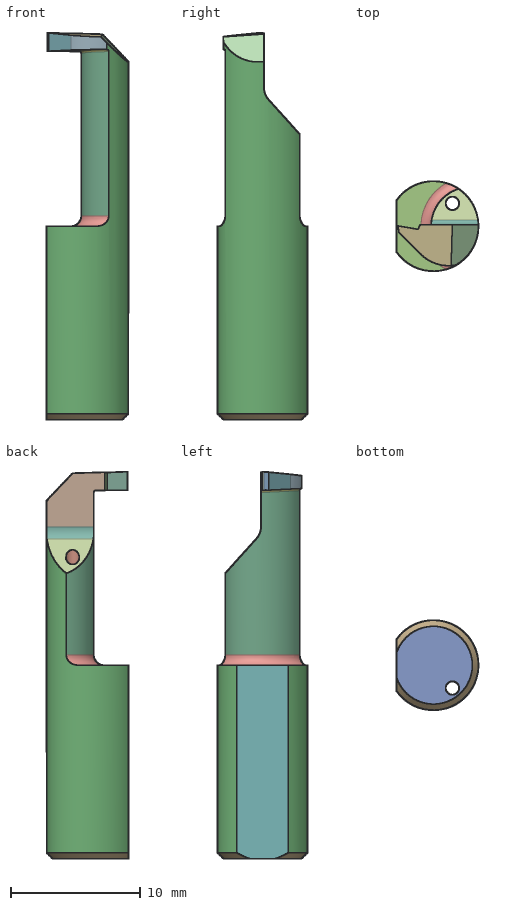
import cadquery as cq
import math

total_height = 30.0
shank_radius = 3.495
shank_height = 15.0
flat_x = -2.865
bottom_chamfer = 0.48
clear = 12.0

neck_radius = 3.03
neck_x = 2.85
neck_fillet = 0.8

rake_y = 0.12
rake_bottom_z = 25.2
runout_angle = 48.0
runout_fillet = 1.4

coolant_diameter = 1.02
coolant_x = 1.47
coolant_y = 1.77

head_back_radius = 3.05
head_back_x = 1.17
tip_x = -2.8
tip_y = 0.03
tip_corner_x = -2.73
tip_corner_y = -0.1
tip_land_x = -2.67
gullet_x = -1.2
gullet_y = -0.25
gullet_end_x = -1.02
underside_z = 28.53
head_fillet = 0.15
underside_rise = 0.05
top_fall_y = 0.07
top_fall_x = 0.03
bevel_x = 1.47
bevel_slope = 1.05
bevel_fall_y = 0.1


def cylinder(radius, height):
    return cq.Workplane("XY").circle(radius).extrude(height)


def half_space_above(x, y, z, slope_x, slope_y):
    """Block above the plane through (x, y, z) with the given Z slopes along X and Y."""
    plane = cq.Plane(origin=(x, y, z), xDir=(1, 0, slope_x), normal=(-slope_x, -slope_y, 1))
    return cq.Workplane(plane).rect(2 * clear, 2 * clear).extrude(clear)


def make_shank():
    shank = cylinder(shank_radius, shank_height).faces("<Z").chamfer(bottom_chamfer)
    beyond_flat = cq.Workplane("XY").box(clear, clear, 2 * shank_height).translate((flat_x - clear / 2, 0, 0))
    return shank.cut(beyond_flat)


def make_neck():
    """Neck with a concave flare onto the shank, trimmed to the shank cylinder."""
    flare_radius = neck_radius + neck_fillet
    flare_top = shank_height + neck_fillet
    middle = neck_fillet * (1 - math.sqrt(0.5))
    profile = (
        cq.Workplane("XZ", origin=(neck_x, 0, 0))
        .moveTo(0, 0)
        .lineTo(flare_radius, 0)
        .lineTo(flare_radius, shank_height)
        .threePointArc((neck_radius + middle, shank_height + middle), (neck_radius, flare_top))
        .lineTo(neck_radius, total_height)
        .lineTo(0, total_height)
        .close()
    )
    neck = profile.revolve(360, (0, 0, 0), (0, 1, 0))
    neck = neck.cut(cq.Workplane("XY").rect(2 * clear, 2 * clear).extrude(shank_height))
    return neck.intersect(cylinder(shank_radius, total_height))


def make_rake_cut():
    """Material removed behind the rake face, with a rounded corner into the runout."""
    runout_z = rake_bottom_z - clear * math.tan(math.radians(runout_angle))
    tool = (
        cq.Workplane("YZ", origin=(-clear, 0, 0))
        .moveTo(rake_y, total_height + clear)
        .lineTo(rake_y, rake_bottom_z)
        .lineTo(rake_y + clear, runout_z)
        .lineTo(rake_y + clear, total_height + clear)
        .close()
        .extrude(2 * clear)
    )
    corner = cq.selectors.NearestToPointSelector((0, rake_y, rake_bottom_z))
    return tool.edges(corner).fillet(runout_fillet)


def make_head():
    """Hooked tip whose 45 degree flank runs tangent into a round back."""
    diagonal = head_back_radius * math.sqrt(0.5)
    flank_end = (head_back_x - diagonal, -diagonal)
    tip_land_y = flank_end[1] + flank_end[0] - tip_land_x
    head = (
        cq.Workplane("XY")
        .moveTo(tip_x, tip_y)
        .lineTo(tip_corner_x, tip_corner_y)
        .lineTo(tip_land_x, tip_land_y)
        .lineTo(*flank_end)
        .threePointArc((head_back_x + diagonal, -diagonal), (head_back_x + head_back_radius, 0))
        .lineTo(head_back_x + head_back_radius, rake_y)
        .lineTo(gullet_end_x, rake_y)
        .lineTo(gullet_x, gullet_y)
        .close()
        .extrude(total_height)
    )
    head = head.intersect(half_space_above(tip_x, rake_y, underside_z, 0, -underside_rise))
    return head.intersect(cylinder(shank_radius, total_height))


bevel_z = total_height - top_fall_x * (bevel_x - tip_x)

bar = make_neck().cut(make_rake_cut()).union(make_head())
underside_corner = cq.selectors.NearestToPointSelector((neck_x - neck_radius, -neck_radius / 2, underside_z))
bar = bar.edges(underside_corner).fillet(head_fillet)
bar = bar.cut(half_space_above(tip_x, tip_y, total_height, -top_fall_x, top_fall_y))
bar = bar.cut(half_space_above(bevel_x, rake_y, bevel_z, -bevel_slope, bevel_fall_y))

coolant_hole = (
    cq.Workplane("XY").center(coolant_x, coolant_y).circle(coolant_diameter / 2).extrude(total_height)
)
result = make_shank().union(bar).cut(coolant_hole)